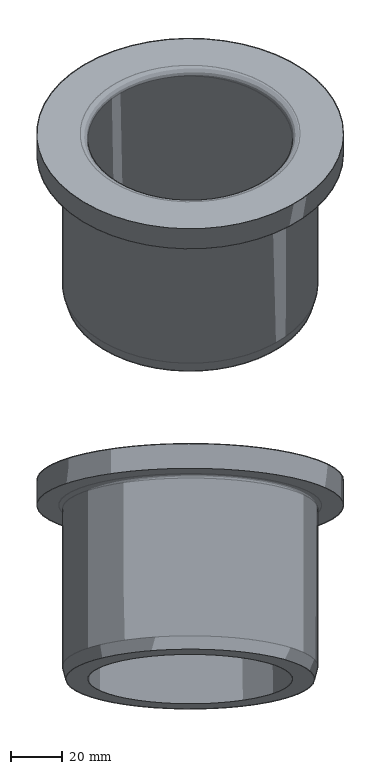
import cadquery as cq
import math

flange_diameter = 120.0
body_diameter = 100.0
bore_diameter = 80.0
total_height = 80.0
flange_thickness = total_height / 8
bore_lip_radius = 3.0
neck_fillet_radius = 1.5
lead_in_height = 5.0
lead_in_angle = 15.0

flange_radius = flange_diameter / 2
body_radius = body_diameter / 2
bore_radius = bore_diameter / 2
flange_bottom = total_height - flange_thickness
lead_in_radius = body_radius - lead_in_height * math.tan(math.radians(lead_in_angle))

half_section = (
    cq.Workplane("XZ")
    .moveTo(bore_radius, 0)
    .lineTo(lead_in_radius, 0)
    .lineTo(body_radius, lead_in_height)
    .lineTo(body_radius, flange_bottom - neck_fillet_radius)
    .radiusArc((body_radius + neck_fillet_radius, flange_bottom), neck_fillet_radius)
    .lineTo(flange_radius, flange_bottom)
    .lineTo(flange_radius, total_height)
    .lineTo(bore_radius + bore_lip_radius, total_height)
    .radiusArc((bore_radius, total_height - bore_lip_radius), -bore_lip_radius)
    .close()
)

result = half_section.revolve(360, (0, 0, 0), (0, 1, 0))